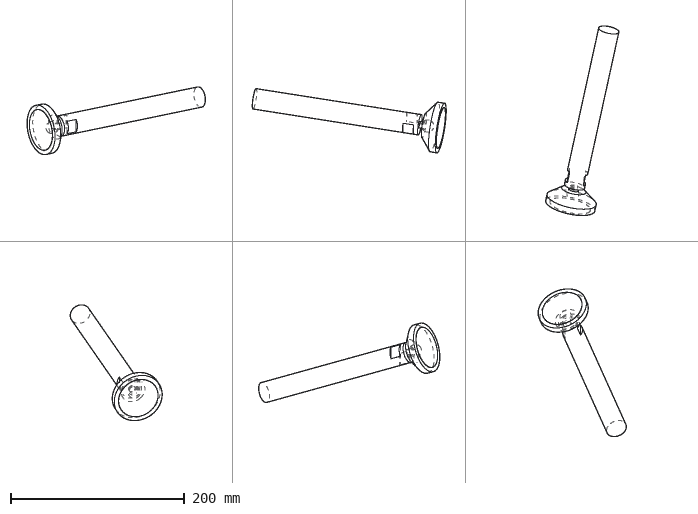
import cadquery as cq
import math

total_length = 220.0

foot_radius = 58.0 / 2
foot_top_radius = 14.3
rim_height = 8.1
foot_height = 20.0
pad_base_radius = 48.0 / 2
pad_face_radius = 47.5 / 2
pad_height = 0.2

leg_radius = 24.0 / 2
leg_start = 24.9
neck_radius = 7.7 / 2
ball_radius = 7.0
ball_center = 15.6
flat_spacing = 18.7
flat_start = leg_start + 5.3
flat_length = 12.5

neck_start = ball_center + math.sqrt(ball_radius**2 - neck_radius**2)


def make_ball():
    return cq.Workplane("XY").sphere(ball_radius).translate((0, ball_center, 0))


def make_foot():
    """Conical foot with a slightly raised, bevelled pad and a ball socket open at the top."""
    body = (
        cq.Workplane("XY")
        .moveTo(0, 0)
        .lineTo(pad_face_radius, 0)
        .lineTo(pad_base_radius, pad_height)
        .lineTo(foot_radius, pad_height)
        .lineTo(foot_radius, rim_height)
        .lineTo(foot_top_radius, foot_height)
        .lineTo(0, foot_height)
        .close()
        .revolve(360, (0, 0, 0), (0, 1, 0))
    )
    return body.cut(make_ball())


def make_leg():
    """Round leg with two wrench flats, ending in a thin neck and a ball."""
    ball_bottom = ball_center - ball_radius
    body = (
        cq.Workplane("XY")
        .moveTo(0, ball_bottom)
        .threePointArc((ball_radius, ball_center), (neck_radius, neck_start))
        .lineTo(neck_radius, leg_start)
        .lineTo(leg_radius, leg_start)
        .lineTo(leg_radius, total_length)
        .lineTo(0, total_length)
        .close()
        .revolve(360, (0, 0, 0), (0, 1, 0))
    )
    for side in (-1, 1):
        flat_cutter = cq.Workplane("XY").box(leg_radius, flat_length, 2 * leg_radius)
        cutter_x = side * (flat_spacing + leg_radius) / 2
        body = body.cut(flat_cutter.translate((cutter_x, flat_start + flat_length / 2, 0)))
    return body


foot = make_foot()
leg = make_leg()

result = cq.Compound.makeCompound([foot.val(), leg.val()])